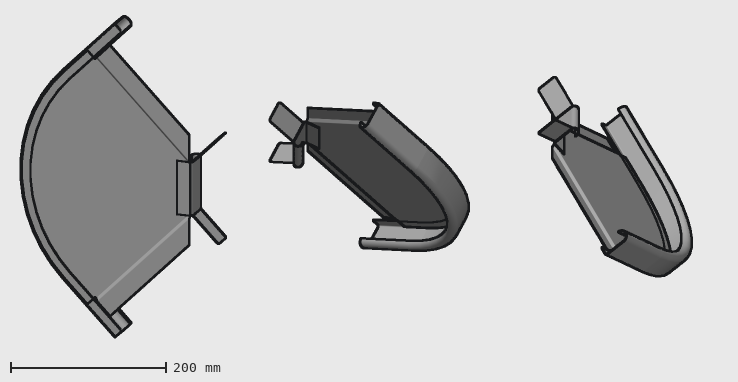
import cadquery as cq
import math


sheet = 1.05
bend_radius = 2.5
splice_height = 0.0
outer_rail_base = 2.5
floor_base = outer_rail_base + sheet
inner_rail_base = floor_base + sheet
diagonal = math.sqrt(0.5)

arc_radius = 200.0
overall_z = 426.5
outer_flange = 14.5
outer_hook_radius = 8.0
outer_lip = 1.0
outer_top = 41.8
flange_clip = 2.5

floor_inner_x = 234.5
joggle_start = 48.0
flat_end = joggle_start - 2 * sheet
joggle_run = 4.0
splice_end = 77.0
fold_inside_radius = 0.65
fold_outside_radius = fold_inside_radius + sheet
splice_side_gap = 17.0
trim_allowance = 4.3

inner_wall_x = floor_inner_x + bend_radius
inner_flange = 21.5
inner_hook_radius = 6.0
inner_lip = 3.5
inner_top = 41.5
tab_tip_x = 272.0
tab_base = 8.0
tab_top = 37.5
tab_corner_radius = 3.5

leg_direction = (diagonal, 0, diagonal)
outward = (-diagonal, 0, diagonal)
inward = (diagonal, 0, -diagonal)
tangent_x = arc_radius * (1 - diagonal)
tangent_z = arc_radius * diagonal
leg_length = (overall_z / 2 - tangent_z) / diagonal
leg_section = cq.Plane(origin=(tangent_x, 0, tangent_z), xDir=inward, normal=leg_direction)
splice_origin = (arc_radius + trim_allowance * diagonal, 0, -trim_allowance * diagonal)
splice_section = cq.Plane(origin=splice_origin, xDir=leg_direction, normal=outward)


def plan(height):
    """Workplane with local axes X and Z at the given height; extrude(-d) goes toward +Y."""
    return cq.Workplane("XZ", origin=(0, height, 0))


def both_ends(upper):
    """The given shape together with its mirror image across Z = 0."""
    return upper.union(upper.mirror("XY"))


def rail_section(plane, base, top, flange, hook_radius, lip):
    """Closed rail section: flange, bend, wall at local x = 0 and half-round hook with a lip."""
    inside_bend = bend_radius - sheet
    inside_hook = hook_radius - sheet
    hook_y = top - hook_radius
    bend_y = base + bend_radius
    outer_mid = bend_radius * (1 - diagonal)
    inner_mid = bend_radius - inside_bend * diagonal
    return (
        cq.Workplane(plane)
        .moveTo(flange, base)
        .lineTo(bend_radius, base)
        .threePointArc((outer_mid, base + outer_mid), (0, bend_y))
        .lineTo(0, hook_y)
        .threePointArc((hook_radius, top), (2 * hook_radius, hook_y))
        .lineTo(2 * hook_radius, hook_y - lip)
        .lineTo(2 * hook_radius - sheet, hook_y - lip)
        .lineTo(2 * hook_radius - sheet, hook_y)
        .threePointArc((hook_radius, hook_y + inside_hook), (sheet, hook_y))
        .lineTo(sheet, bend_y)
        .threePointArc((inner_mid, base + inner_mid), (bend_radius, base + sheet))
        .lineTo(flange, base + sheet)
        .close()
    )


def outer_section():
    """Section of the outer rail where the arc meets the upper leg."""
    return rail_section(
        leg_section, outer_rail_base, outer_top, outer_flange, outer_hook_radius, outer_lip
    )


def make_outer_rail():
    """Hooked rail bent round the outside of the tray, with a straight leg at each end."""
    bend = outer_section().revolve(90, (arc_radius, 0, 0), (arc_radius, -1, 0))
    clip = (
        cq.Workplane(leg_section)
        .workplane(offset=leg_length)
        .center(outer_flange, outer_rail_base + sheet / 2)
        .transformed(rotate=(0, -45, 0))
        .box(flange_clip * 2 * diagonal, 2 * sheet, 4 * flange_clip)
    )
    leg = outer_section().extrude(leg_length).cut(clip)
    return bend.union(both_ends(leg))


def make_floor():
    """Flat floor with a splice plate joggled down at each end."""
    edge_radius = arc_radius - bend_radius
    arc_end_x = arc_radius - edge_radius * diagonal
    arc_end_z = edge_radius * diagonal
    leg_x = arc_end_x + flat_end * diagonal
    leg_z = arc_end_z + flat_end * diagonal
    inner_z = leg_x + leg_z - floor_inner_x
    floor = (
        plan(floor_base)
        .moveTo(arc_end_x, arc_end_z)
        .lineTo(leg_x, leg_z)
        .lineTo(floor_inner_x, inner_z)
        .lineTo(floor_inner_x, -inner_z)
        .lineTo(leg_x, -leg_z)
        .lineTo(arc_end_x, -arc_end_z)
        .threePointArc((bend_radius, 0), (arc_end_x, arc_end_z))
        .close()
        .extrude(-sheet)
    )
    return floor.union(both_ends(make_splice_plate()))


def make_splice_plate():
    """Joggle and splice plate at the upper end, trimmed flush with the floor's inner edge."""
    joggle_end = joggle_start + joggle_run
    fold_shift = sheet * math.tan(math.atan2(floor_base, joggle_run) / 2)
    strip_length = arc_radius + trim_allowance - splice_side_gap
    floor_top = floor_base + sheet
    splice_top = splice_height + sheet
    strip = (
        cq.Workplane(splice_section)
        .moveTo(flat_end, floor_base)
        .lineTo(joggle_start, floor_base)
        .lineTo(joggle_end, splice_height)
        .lineTo(splice_end, splice_height)
        .lineTo(splice_end, splice_top)
        .lineTo(joggle_end + fold_shift, splice_top)
        .lineTo(joggle_start + fold_shift, floor_top)
        .lineTo(flat_end, floor_top)
        .close()
        .extrude(strip_length)
    )
    folds = [
        (joggle_start, floor_base, fold_inside_radius),
        (joggle_end + fold_shift, splice_top, fold_inside_radius),
        (joggle_start + fold_shift, floor_top, fold_outside_radius),
        (joggle_end, splice_height, fold_outside_radius),
    ]
    for distance, height, radius in folds:
        edge_middle = splice_section.toWorldCoords((distance, height, strip_length / 2))
        fold_edge = cq.selectors.NearestToPointSelector(edge_middle.toTuple())
        strip = strip.edges(fold_edge).fillet(radius)
    trim = cq.Workplane().box(arc_radius, arc_radius, arc_radius * 2, centered=(False, True, True))
    return strip.cut(trim.translate((floor_inner_x, 0, 0)))


def make_inner_rail():
    """Short hooked rail along the floor's inner edge, with a tab turned out at each end."""
    corner_z = inner_wall_x - sheet / 2 - arc_radius
    mitre = sheet / 2 * math.tan(math.radians(22.5))
    wall_half = corner_z - mitre
    rail_plane = cq.Plane(origin=(inner_wall_x, 0, 0), xDir=(-1, 0, 0), normal=(0, 0, -1))
    section = rail_section(
        rail_plane, inner_rail_base, inner_top, inner_flange, inner_hook_radius, inner_lip
    )
    rail = section.extrude(wall_half, both=True)
    return rail.union(both_ends(make_tab(corner_z, mitre)))


def make_tab(corner_z, mitre):
    """Upright tab at the upper end of the inner rail, joined to the end face of its wall."""
    wall_back = inner_wall_x - sheet
    run = tab_tip_x - inner_wall_x
    tip_z = corner_z - mitre + run
    tab = (
        plan(tab_base)
        .moveTo(inner_wall_x, corner_z - mitre)
        .lineTo(tab_tip_x, tip_z)
        .lineTo(tab_tip_x - sheet * diagonal, tip_z + sheet * diagonal)
        .lineTo(wall_back, corner_z + mitre)
        .lineTo(wall_back, corner_z - mitre)
        .close()
        .extrude(tab_base - tab_top)
    )
    tip = cq.selectors.BoxSelector(
        (tab_tip_x - sheet, tab_base - sheet, tip_z - sheet),
        (tab_tip_x + sheet, tab_top + sheet, tip_z + 2 * sheet),
    )
    across_sheet = cq.selectors.ParallelDirSelector(cq.Vector(*inward))
    return tab.edges(across_sheet).edges(tip).fillet(tab_corner_radius)


outer_rail = make_outer_rail()
floor = make_floor()
inner_rail = make_inner_rail()

result = cq.Compound.makeCompound([outer_rail.val(), floor.val(), inner_rail.val()])